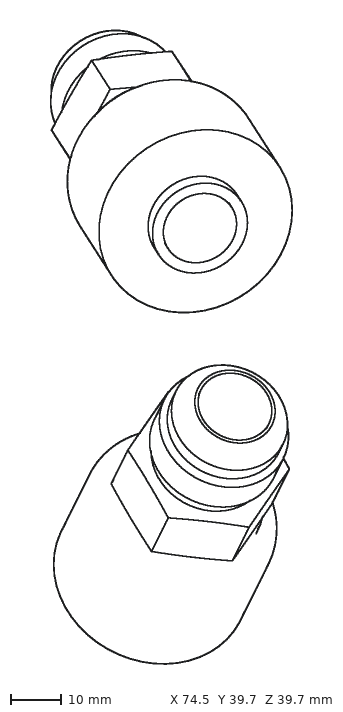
import cadquery as cq
import math

total_length = 74.55
bore_radius = 7.5

nose_tip_radius = 8.2
nose_length = 4.6
shank_radius = 11.85
thread_radius = 13.2
thread_start = 8.2
thread_end = 18.35
thread_lead_in = 1.1
thread_run_out = 0.75
hex_start = 21.85
hex_end = 36.9
hex_across_flats = 28.55
hex_corner_radius = hex_across_flats / 2 / math.cos(math.pi / 6)
hex_face_radius = 13.9
hex_chamfer_length = 0.45
neck_radius = 12.1
tail_radius = 9.8

sleeve_start = 37.35
sleeve_end = 71.2
collar_radius = 15.0
barrel_radius = 39.7 / 2
shoulder_start = 40.8
shoulder_end = 46.5
shoulder_fillet = 1.9
collar_fillet = 0.45


def cylinder(start, end, radius):
    """Solid cylinder on the X axis between two X positions."""
    return cq.Workplane("YZ", origin=(start, 0, 0)).circle(radius).extrude(end - start)


def revolve_about_x(points):
    """Revolve a closed (X, radius) outline about the X axis."""
    return cq.Workplane("XY").polyline(points).close().revolve(360, (0, 0, 0), (1, 0, 0))


def make_threaded_end():
    """Conical nose, shank and chamfered thread band, up to the hexagon."""
    return revolve_about_x([
        (0, 0),
        (0, nose_tip_radius),
        (nose_length, shank_radius),
        (thread_start, shank_radius),
        (thread_start + thread_lead_in, thread_radius),
        (thread_end - thread_run_out, thread_radius),
        (thread_end, shank_radius),
        (hex_start, shank_radius),
        (hex_start, 0),
    ])


def make_hexagon():
    """Hexagon with corners on the Y axis and shallow conical chamfers at both ends."""
    prism = (
        cq.Workplane("YZ", origin=(hex_start, 0, 0))
        .polygon(6, 2 * hex_corner_radius)
        .extrude(hex_end - hex_start)
    )
    chamfer_envelope = revolve_about_x([
        (hex_start, 0),
        (hex_start, hex_face_radius),
        (hex_start + hex_chamfer_length, hex_corner_radius),
        (hex_end - hex_chamfer_length, hex_corner_radius),
        (hex_end, hex_face_radius),
        (hex_end, 0),
    ])
    return prism.intersect(chamfer_envelope)


def make_stem():
    """One-piece stem with a through bore; its tail carries the sleeve."""
    neck = cylinder(hex_end, sleeve_start, neck_radius)
    tail = cylinder(sleeve_start, total_length, tail_radius)
    bore = cylinder(0, total_length, bore_radius)
    return make_threaded_end().union(make_hexagon()).union(neck).union(tail).cut(bore)


def make_sleeve():
    """Sleeve that fits over the tail and seats against the neck."""
    sleeve = revolve_about_x([
        (sleeve_start, tail_radius),
        (sleeve_start, collar_radius),
        (shoulder_start, collar_radius),
        (shoulder_end, barrel_radius),
        (sleeve_end, barrel_radius),
        (sleeve_end, tail_radius),
    ])
    sleeve = sleeve.faces("%CONE").edges("%CIRCLE").fillet(shoulder_fillet)
    return sleeve.faces("<X").edges(cq.selectors.RadiusNthSelector(-1)).fillet(collar_fillet)


stem = make_stem()
sleeve = make_sleeve()

result = cq.Compound.makeCompound([stem.val(), sleeve.val()])